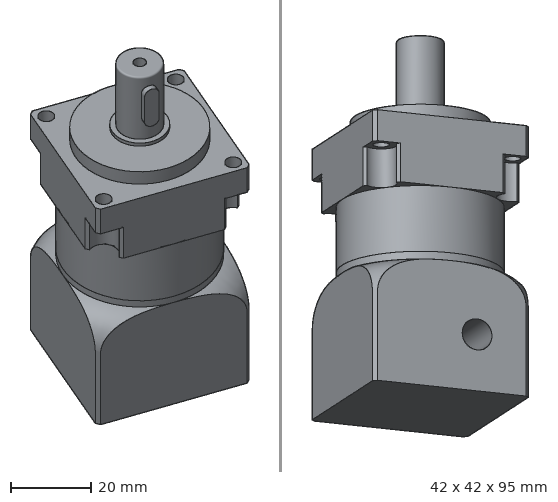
import cadquery as cq
import math

WIDTH = 42.0
CORNER_CHAMFER = 1.0
HALF_WIDTH = WIDTH / 2

BLOCK_TOP = 33.0
NECK_TOP = 35.0
BARREL_TOP = 52.0
RELIEF_TOP = 62.0
FLANGE_TOP = 70.0
PILOT_TOP = 74.0
COLLAR_TOP = 75.0
SHAFT_TOP = 95.0

BARREL_DIAMETER = WIDTH
PILOT_DIAMETER = 35.0
COLLAR_DIAMETER = 15.0
SHAFT_DIAMETER = 12.0
SHAFT_EDGE_RADIUS = 0.5

SHOULDER_RADIUS = 10.0
BLOCK_CORNER_RADIUS = math.hypot(HALF_WIDTH, HALF_WIDTH - CORNER_CHAMFER)

ACCESS_END_RADIUS = 7.0
ACCESS_DEPTH = HALF_WIDTH
ACCESS_DIAMETER = 8.0
ACCESS_Y = -6.8
ACCESS_Z = 14.6

BOLT_CIRCLE_RADIUS = 25.0
BOLT_HOLE_DIAMETER = 4.2
RELIEF_RADIUS = BOLT_CIRCLE_RADIUS - BARREL_DIAMETER / 2
RELIEF_START = 13.8

CENTRE_HOLE_DIAMETER = 3.3
CENTRE_HOLE_DEPTH = 10.0
DRILL_TIP_ANGLE = 118.0

KEY_WIDTH = 4.0
KEY_HEIGHT = 4.0
KEY_LENGTH = 12.0
KEY_BOTTOM = 80.0
KEY_OUTER_X = 7.5


def disc(diameter, bottom, top):
    return cq.Workplane("XY").workplane(offset=bottom).circle(diameter / 2).extrude(top - bottom)


def chamfered_square(bottom, top):
    square = cq.Workplane("XY").workplane(offset=bottom).rect(WIDTH, WIDTH).extrude(top - bottom)
    return square.edges("|Z").chamfer(CORNER_CHAMFER)


def make_adapter():
    """Square block with a rounded shoulder over its corners and a round neck on top."""
    neck_radius = BARREL_DIAMETER / 2
    arc_centre_r = BLOCK_CORNER_RADIUS - SHOULDER_RADIUS
    end_angle = math.acos((neck_radius - arc_centre_r) / SHOULDER_RADIUS)
    arc_centre_z = BLOCK_TOP - SHOULDER_RADIUS * math.sin(end_angle)
    arc_middle = (
        arc_centre_r + SHOULDER_RADIUS * math.cos(end_angle / 2),
        arc_centre_z + SHOULDER_RADIUS * math.sin(end_angle / 2),
    )
    envelope = (
        cq.Workplane("XZ")
        .lineTo(BLOCK_CORNER_RADIUS, 0)
        .lineTo(BLOCK_CORNER_RADIUS, arc_centre_z)
        .threePointArc(arc_middle, (neck_radius, BLOCK_TOP))
        .lineTo(neck_radius, NECK_TOP)
        .lineTo(0, NECK_TOP)
        .close()
        .revolve(360, (0, 0, 0), (0, 1, 0))
    )
    return chamfered_square(0, NECK_TOP).intersect(envelope).cut(make_access_hole())


def make_access_hole():
    """Round hole along X whose deepest end is shaped by an upright cylinder."""
    hole = (
        cq.Workplane("YZ")
        .workplane(offset=-HALF_WIDTH)
        .center(ACCESS_Y, ACCESS_Z)
        .circle(ACCESS_DIAMETER / 2)
        .extrude(ACCESS_DEPTH)
    )
    end_axis_x = ACCESS_DEPTH - HALF_WIDTH - ACCESS_END_RADIUS
    end_wall = disc(2 * ACCESS_END_RADIUS, 0, BLOCK_TOP).translate((end_axis_x, ACCESS_Y, 0))
    straight_length = end_axis_x + HALF_WIDTH
    straight_part = (
        cq.Workplane("XY")
        .box(straight_length, 2 * ACCESS_END_RADIUS, BLOCK_TOP, centered=(False, True, False))
        .translate((-HALF_WIDTH, ACCESS_Y, 0))
    )
    return hole.intersect(straight_part.union(end_wall))


def make_corner_relief():
    """Cut under one flange corner: a flat across the corner and a round groove around the screw."""
    flat = (
        cq.Workplane("XY")
        .workplane(offset=BARREL_TOP)
        .moveTo(HALF_WIDTH, RELIEF_START)
        .lineTo(HALF_WIDTH, HALF_WIDTH)
        .lineTo(RELIEF_START, HALF_WIDTH)
        .close()
        .extrude(RELIEF_TOP - BARREL_TOP)
    )
    bolt_offset = BOLT_CIRCLE_RADIUS / math.sqrt(2)
    groove = disc(2 * RELIEF_RADIUS, BARREL_TOP, RELIEF_TOP).translate((bolt_offset, bolt_offset, 0))
    hole = disc(BOLT_HOLE_DIAMETER, BARREL_TOP, FLANGE_TOP).translate((bolt_offset, bolt_offset, 0))
    return flat.union(groove).union(hole)


def make_flange():
    flange = chamfered_square(BARREL_TOP, FLANGE_TOP)
    relief = make_corner_relief()
    for corner in range(4):
        flange = flange.cut(relief.rotate((0, 0, 0), (0, 0, 1), 90 * corner))
    return flange


def make_centre_hole():
    """Drilled hole with a conical tip, revolved about the shaft axis."""
    radius = CENTRE_HOLE_DIAMETER / 2
    hole_bottom = SHAFT_TOP - CENTRE_HOLE_DEPTH
    tip_depth = radius / math.tan(math.radians(DRILL_TIP_ANGLE / 2))
    return (
        cq.Workplane("XZ")
        .moveTo(0, SHAFT_TOP)
        .lineTo(radius, SHAFT_TOP)
        .lineTo(radius, hole_bottom)
        .lineTo(0, hole_bottom - tip_depth)
        .close()
        .revolve(360, (0, 0, 0), (0, 1, 0))
    )


def make_shaft():
    shaft = disc(SHAFT_DIAMETER, COLLAR_TOP, SHAFT_TOP).faces(">Z").edges().fillet(SHAFT_EDGE_RADIUS)
    return shaft.union(make_key()).cut(make_centre_hole())


def make_key():
    """Round-ended key standing upright on the +X side of the shaft."""
    return (
        cq.Workplane("YZ")
        .workplane(offset=KEY_OUTER_X - KEY_HEIGHT)
        .center(0, KEY_BOTTOM + KEY_LENGTH / 2)
        .slot2D(KEY_LENGTH, KEY_WIDTH, 90)
        .extrude(KEY_HEIGHT)
    )


def make_gearbox():
    """Barrel, flange, pilot, collar, shaft and key in one piece."""
    return (
        disc(BARREL_DIAMETER, NECK_TOP, BARREL_TOP)
        .union(make_flange())
        .union(disc(PILOT_DIAMETER, FLANGE_TOP, PILOT_TOP))
        .union(disc(COLLAR_DIAMETER, PILOT_TOP, COLLAR_TOP))
        .union(make_shaft())
    )


adapter = make_adapter()
gearbox = make_gearbox()

result = cq.Compound.makeCompound([adapter.val(), gearbox.val()])